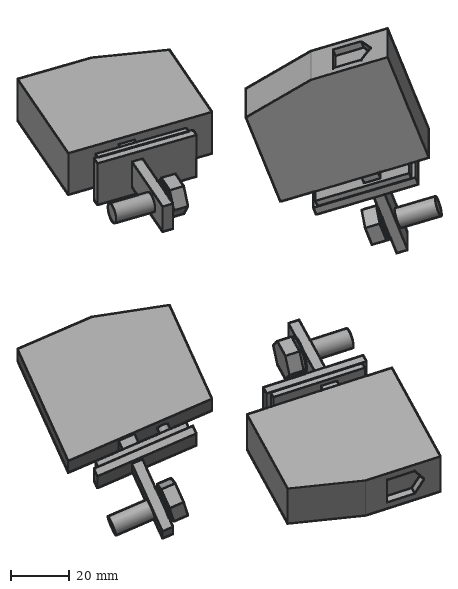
import cadquery as cq
import math

HOUSING_LENGTH = 43.1
HOUSING_WIDTH = 54.0
HOUSING_HEIGHT = 18.8
BEVEL_LENGTH = 7.0
BEVEL_WIDTH = 26.1

POCKET_DEPTH = 2.7
POCKET_HEIGHT = 12.0
POCKET_BACK_Y = 19.9
POCKET_TIP_Y = 6.15
POCKET_TIP_HALF_ANGLE = 60.0

GAP = 3.8
NECK_WIDTH = 6.0
NECK_HEIGHT = 13.8
NECK_CENTER_Y = 21.9
PIN_DIAMETER = 4.0
PIN_CENTER_Y = 35.4

SEAL_THICKNESS = 2.2
SEAL_WIDTH = 34.1
SEAL_HEIGHT = 18.2
FLANGE_THICKNESS = 3.0
FLANGE_WIDTH = 37.2
PLATE_CENTER_Y = 25.55

PART_LENGTH = 78.1
TONGUE_THICKNESS = 4.0
TONGUE_HEIGHT = 11.4
TONGUE_TOP_Y = 23.9

BOLT_X = 68.15
BOLT_DIAMETER = 7.2
BOLT_END_Y = 5.3
HEAD_SIDES = 6
HEAD_ACROSS_FLATS = 12.5
HEAD_THICKNESS = 5.3
WASHER_DIAMETER = 13.0
WASHER_TOP_DIAMETER = 9.4
WASHER_RIM = 0.5
WASHER_THICKNESS = 1.5

SEAL_X = HOUSING_LENGTH + GAP
FLANGE_X = SEAL_X + SEAL_THICKNESS
TONGUE_X = FLANGE_X + FLANGE_THICKNESS


def block(x_start, length, y_center, width, height):
    """Box starting at x_start, centred on y_center and on Z = 0."""
    return (
        cq.Workplane("XY")
        .box(length, width, height, centered=(False, True, True))
        .translate((x_start, y_center, 0))
    )


def make_housing():
    outline = [
        (0, 0),
        (HOUSING_LENGTH, 0),
        (HOUSING_LENGTH, HOUSING_WIDTH),
        (BEVEL_LENGTH, HOUSING_WIDTH),
        (0, HOUSING_WIDTH - BEVEL_WIDTH),
    ]
    housing = cq.Workplane("XY").polyline(outline).close().extrude(HOUSING_HEIGHT / 2, both=True)
    return housing.cut(make_pocket())


def make_pocket():
    half_height = POCKET_HEIGHT / 2
    shoulder_y = POCKET_TIP_Y + half_height / math.tan(math.radians(POCKET_TIP_HALF_ANGLE))
    outline = [
        (POCKET_BACK_Y, -half_height),
        (POCKET_BACK_Y, half_height),
        (shoulder_y, half_height),
        (POCKET_TIP_Y, 0),
        (shoulder_y, -half_height),
    ]
    return cq.Workplane("YZ").polyline(outline).close().extrude(POCKET_DEPTH)


def make_pin():
    return (
        cq.Workplane("YZ", origin=(HOUSING_LENGTH, PIN_CENTER_Y, 0))
        .circle(PIN_DIAMETER / 2)
        .extrude(GAP)
    )


def make_bolt():
    """Shank, conical washer and hex head, with two flats of the head facing up and down."""
    washer_top_y = TONGUE_TOP_Y + WASHER_THICKNESS
    head_corner_diameter = HEAD_ACROSS_FLATS / math.cos(math.pi / HEAD_SIDES)
    washer_profile = [
        (0, TONGUE_TOP_Y),
        (WASHER_DIAMETER / 2, TONGUE_TOP_Y),
        (WASHER_DIAMETER / 2, TONGUE_TOP_Y + WASHER_RIM),
        (WASHER_TOP_DIAMETER / 2, washer_top_y),
        (0, washer_top_y),
    ]
    washer = cq.Workplane("XY").polyline(washer_profile).close().revolve(360, (0, 0, 0), (0, 1, 0))
    head = (
        cq.Workplane("XZ", origin=(0, washer_top_y, 0))
        .polygon(HEAD_SIDES, head_corner_diameter)
        .extrude(-HEAD_THICKNESS)
    )
    shank = (
        cq.Workplane("XZ", origin=(0, BOLT_END_Y, 0))
        .circle(BOLT_DIAMETER / 2)
        .extrude(BOLT_END_Y - washer_top_y)
    )
    return shank.union(washer).union(head).translate((BOLT_X, 0, 0))


neck = block(HOUSING_LENGTH, GAP, NECK_CENTER_Y, NECK_WIDTH, NECK_HEIGHT)
seal = block(SEAL_X, SEAL_THICKNESS, PLATE_CENTER_Y, SEAL_WIDTH, SEAL_HEIGHT)
flange = block(FLANGE_X, FLANGE_THICKNESS, PLATE_CENTER_Y, FLANGE_WIDTH, HOUSING_HEIGHT)
tongue = block(
    TONGUE_X,
    PART_LENGTH - TONGUE_X,
    TONGUE_TOP_Y - TONGUE_THICKNESS / 2,
    TONGUE_THICKNESS,
    TONGUE_HEIGHT,
)

result = make_housing()
for component in (neck, make_pin(), seal, flange, tongue, make_bolt()):
    result = result.union(component)